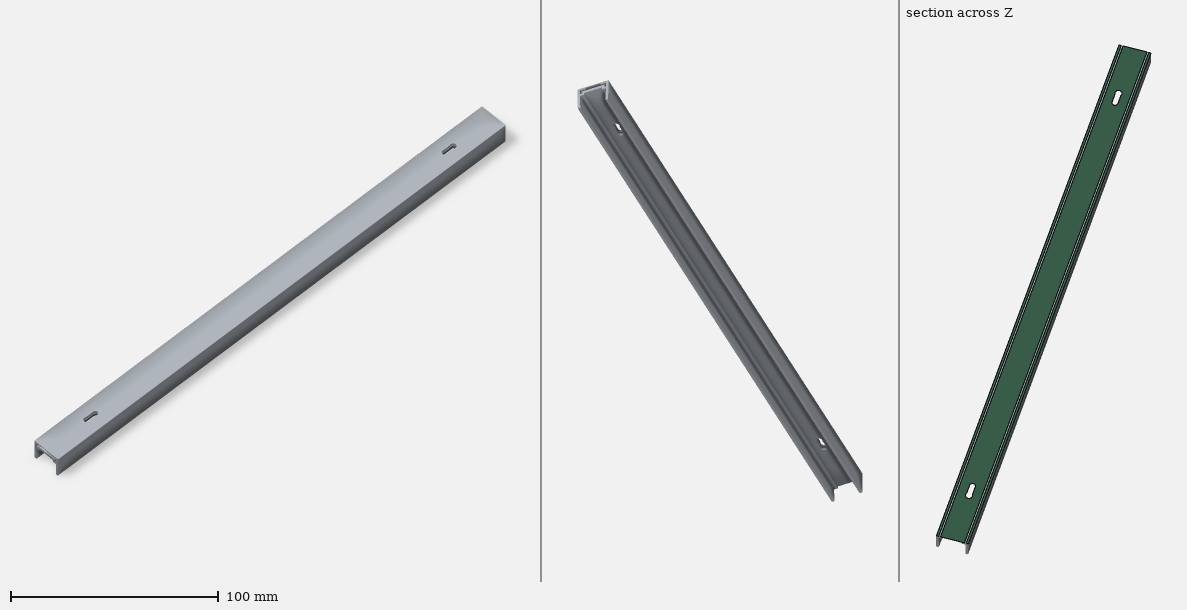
import cadquery as cq

LENGTH = 300.0
WIDTH = 16.5
HEIGHT = 12.5
WALL_LEAN = 0.25
WALL = 1.35
TOP_SHEET = 1.2
TOP_EDGE_RADIUS = 0.25

LEDGE_GAP = 9.5
LEDGE_TOP_Z = -3.5
LEDGE_THICKNESS = 1.2

POCKET_WIDTH = 8.0
POCKET_LENGTH = 6.5
POCKET_SKIN = 0.45

STRIP_WIDTH = 12.3
STRIP_THICKNESS = 1.5

HEAD_DIAMETER = 3.3
HEAD_Y = 122.7
SLOT_WIDTH = 2.7
SLOT_END_Y = 117.0

SIDES = (-1, 1)


def outer_x(z):
    """Half width of the leaning outer face at height z (the top is z = 0)."""
    return WIDTH / 2 + WALL_LEAN * z / HEIGHT


def inner_x(z):
    return outer_x(z) - WALL


def keyholes():
    """Cutters for both keyholes, passing down through the whole height."""
    slot_length = HEAD_Y - SLOT_END_Y
    cutters = cq.Workplane("XY")
    for side in SIDES:
        head = cq.Workplane("XY").center(0, side * HEAD_Y).circle(HEAD_DIAMETER / 2)
        slot_end = cq.Workplane("XY").center(0, side * SLOT_END_Y).circle(SLOT_WIDTH / 2)
        slot = cq.Workplane("XY").center(0, side * (HEAD_Y + SLOT_END_Y) / 2).rect(SLOT_WIDTH, slot_length)
        for outline in (head, slot_end, slot):
            cutters = cutters.add(outline.extrude(-HEIGHT))
    return cutters.combine()


def end_pockets():
    """Cutters for the pockets in the underside of the top sheet."""
    depth = TOP_SHEET - POCKET_SKIN
    cutters = cq.Workplane("XY")
    for side in SIDES:
        pocket = (
            cq.Workplane("XY", origin=(0, side * (LENGTH - POCKET_LENGTH) / 2, -TOP_SHEET))
            .rect(POCKET_WIDTH, POCKET_LENGTH)
            .extrude(depth)
        )
        cutters = cutters.add(pocket)
    return cutters.combine()


def make_rail():
    ledge_bottom_z = LEDGE_TOP_Z - LEDGE_THICKNESS
    right_half = [
        (outer_x(0), 0),
        (outer_x(-HEIGHT), -HEIGHT),
        (inner_x(-HEIGHT), -HEIGHT),
        (inner_x(ledge_bottom_z), ledge_bottom_z),
        (LEDGE_GAP / 2, ledge_bottom_z),
        (LEDGE_GAP / 2, LEDGE_TOP_Z),
        (inner_x(LEDGE_TOP_Z), LEDGE_TOP_Z),
        (inner_x(-TOP_SHEET), -TOP_SHEET),
    ]
    left_half = [(-x, z) for x, z in reversed(right_half)]
    profile = cq.Workplane("XZ").polyline(right_half + left_half).close()
    body = profile.extrude(LENGTH / 2, both=True)
    body = body.edges("|Y and >Z").fillet(TOP_EDGE_RADIUS)
    return body.cut(end_pockets()).cut(keyholes())


def make_strip():
    bar = (
        cq.Workplane("XY", origin=(0, 0, LEDGE_TOP_Z))
        .rect(STRIP_WIDTH, LENGTH)
        .extrude(STRIP_THICKNESS)
    )
    return bar.cut(keyholes())


rail = make_rail().solids()
strip = make_strip().solids()

result = cq.Compound.makeCompound([rail.val(), strip.val()])